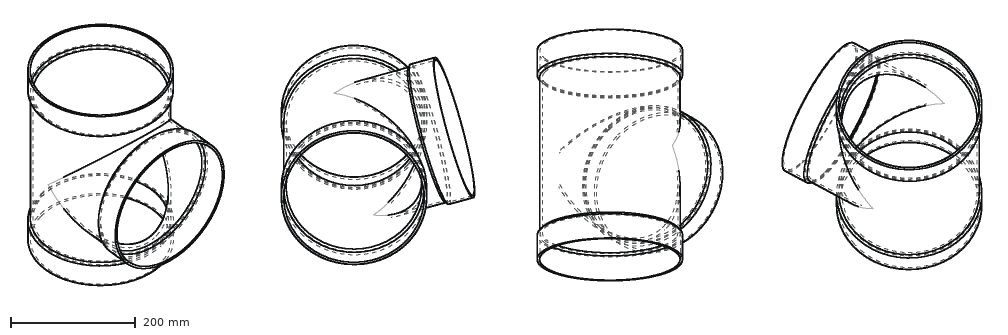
import cadquery as cq

height = 350.0
branch_reach = 167.3
bore_diameter = 217.0
socket_bore_diameter = 225.0
socket_diameter = 233.0
socket_depth = 40.5

wall = (socket_diameter - socket_bore_diameter) / 2
bore_radius = bore_diameter / 2
socket_bore_radius = socket_bore_diameter / 2
pipe_radius = bore_radius + wall
socket_radius = socket_diameter / 2
taper_length = socket_radius - pipe_radius


def revolve_profile(points):
    """Revolve an (r, z) outline a full turn about Z."""
    return cq.Workplane("XZ").polyline(points).close().revolve(360, (0, 0, 0), (0, 1, 0))


def socketed_end(length, pipe_section_radius, socket_section_radius):
    """Outline points (r, z) of a pipe end, from the taper start to the axis."""
    taper_end = length - socket_depth
    taper_start = taper_end - taper_length
    return [
        (pipe_section_radius, taper_start),
        (socket_section_radius, taper_end),
        (socket_section_radius, length),
        (0, length),
    ]


def tee(pipe_section_radius, socket_section_radius):
    """Solid run along Z with sockets at both ends, joined by an equal branch along +X."""
    upper_end = socketed_end(height / 2, pipe_section_radius, socket_section_radius)
    lower_end = [(r, -z) for r, z in reversed(upper_end)]
    run = revolve_profile(lower_end + upper_end)

    branch_end = socketed_end(branch_reach, pipe_section_radius, socket_section_radius)
    branch = revolve_profile([(0, 0), (pipe_section_radius, 0)] + branch_end)
    branch = branch.rotate((0, 0, 0), (0, 1, 0), 90)
    return run.union(branch)


outer_body = tee(pipe_radius, socket_radius)
passage = tee(bore_radius, socket_bore_radius)

result = outer_body.cut(passage)